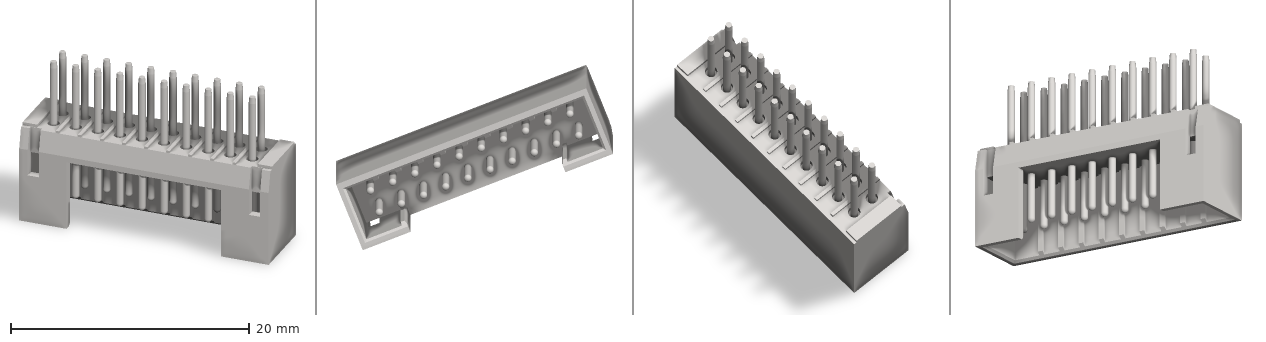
import cadquery as cq

COLUMNS = 10
ROWS = 2
COLUMN_SPAN = 18.01
PITCH = COLUMN_SPAN / (COLUMNS - 1)

LENGTH = 22.6
WIDTH = 6.1
DECK_TOP = 8.59
FRONT = -WIDTH / 2
BACK = WIDTH / 2
FRONT_BEVEL_DEPTH = 0.4
FRONT_BEVEL_HEIGHT = 1.85

CAVITY_HEIGHT = 6.22
SIDE_WALL = 0.72
END_WALL = 0.6
LEAD_IN = 0.2
LEAD_IN_ANGLE = 45
WINDOW_LENGTH = 14.01

GUIDE_PITCH = 2.01
GUIDE_WIDTH = 0.47
GUIDE_DEPTH = 0.27
JAMB_TAPER = 0.14

SLOT_WIDTH = 1.02
SLOT_BOTTOM = 4.36
SLOT_FROM_END = 0.77

PAD_LENGTH = 1.3
PAD_HEIGHT = 0.27
PAD_FRONT_GAP = 0.77
PAD_BACK_GAP = 0.27
RIB_WIDTH = 0.32
RIB_HEIGHT = 0.2
RIB_BACK_GAP = 0.4

PIN_RADIUS = 0.32
PIN_TIP_DIAMETER = 0.52
PIN_TIP_HEIGHT = 0.55
PIN_BOTTOM = 1.95
PIN_TOP = 14.4
RECESS_RADIUS = 0.52
RECESS_DEPTH = 0.5


def centred_positions(count, pitch):
    """Evenly spaced coordinates centred on zero."""
    return [(i - (count - 1) / 2) * pitch for i in range(count)]


column_x = centred_positions(COLUMNS, PITCH)
row_y = centred_positions(ROWS, PITCH)
pin_points = [(x, y) for x in column_x for y in row_y]

deck_rib_x = centred_positions(COLUMNS - 1, PITCH)
guide_rib_x = centred_positions(COLUMNS - 1, GUIDE_PITCH)

cavity_half_length = LENGTH / 2 - END_WALL
cavity_half_width = WIDTH / 2 - SIDE_WALL


def block(x_range, y_range, z_range):
    """Box between the given limits along X, Y and Z."""
    (x0, x1), (y0, y1), (z0, z1) = x_range, y_range, z_range
    return cq.Workplane("XY").box(x1 - x0, y1 - y0, z1 - z0, centered=False).translate((x0, y0, z0))


def profile_along_x(points, x_start, x_end):
    """Closed Y-Z outline extruded from x_start to x_end."""
    return cq.Workplane("YZ", origin=(x_start, 0, 0)).polyline(points).close().extrude(x_end - x_start)


def housing_block():
    """Solid outer body with a bevel along the top front edge."""
    outline = [
        (FRONT, 0),
        (BACK, 0),
        (BACK, DECK_TOP),
        (FRONT + FRONT_BEVEL_DEPTH, DECK_TOP),
        (FRONT, DECK_TOP - FRONT_BEVEL_HEIGHT),
    ]
    return profile_along_x(outline, -LENGTH / 2, LENGTH / 2)


def cavity():
    """Rectangular cavity that flares outward all round at the mouth."""
    length = 2 * cavity_half_length
    width = 2 * cavity_half_width
    mouth = (
        cq.Workplane("XY")
        .rect(length + 2 * LEAD_IN, width + 2 * LEAD_IN)
        .extrude(LEAD_IN, taper=LEAD_IN_ANGLE)
    )
    return mouth.union(cq.Workplane("XY").rect(length, width).extrude(CAVITY_HEIGHT))


def guide_rib(x_centre, side):
    """Rib on the rear (side = 1) or front (side = -1) wall; its foot carries on the lead-in slope."""
    root = side * (cavity_half_width + LEAD_IN)
    crest = side * (cavity_half_width - GUIDE_DEPTH)
    outline = [
        (root, 0),
        (crest, LEAD_IN + GUIDE_DEPTH),
        (crest, CAVITY_HEIGHT),
        (root, CAVITY_HEIGHT),
    ]
    return profile_along_x(outline, x_centre - GUIDE_WIDTH / 2, x_centre + GUIDE_WIDTH / 2)


def jamb_wedge(side):
    """Wedge that slants the flank of the rib beside the left (-1) or right (1) window jamb."""
    jamb = side * WINDOW_LENGTH / 2
    root = -cavity_half_width
    crest = root + GUIDE_DEPTH
    outline = [(jamb, root), (jamb, crest), (jamb + side * JAMB_TAPER, crest)]
    return cq.Workplane("XY").polyline(outline).close().extrude(CAVITY_HEIGHT)


def pin():
    """Round pin with a hemispherical lower end and a tapered upper tip."""
    return (
        cq.Workplane("XZ")
        .moveTo(0, PIN_BOTTOM)
        .radiusArc((PIN_RADIUS, PIN_BOTTOM + PIN_RADIUS), -PIN_RADIUS)
        .lineTo(PIN_RADIUS, PIN_TOP - PIN_TIP_HEIGHT)
        .lineTo(PIN_TIP_DIAMETER / 2, PIN_TOP)
        .lineTo(0, PIN_TOP)
        .close()
        .revolve(360, (0, 0, 0), (0, 1, 0))
    )


window_x = (-WINDOW_LENGTH / 2, WINDOW_LENGTH / 2)
body = housing_block().cut(cavity())
body = body.cut(block(window_x, (FRONT, FRONT + SIDE_WALL), (0, CAVITY_HEIGHT)))

for x in guide_rib_x:
    body = body.union(guide_rib(x, 1))

for side in (-1, 1):
    jamb_rib_x = side * (WINDOW_LENGTH + GUIDE_WIDTH) / 2
    body = body.union(guide_rib(jamb_rib_x, -1)).cut(jamb_wedge(side))

slot_outer = LENGTH / 2 - SLOT_FROM_END
for side in (-1, 1):
    slot_x = sorted((side * slot_outer, side * (slot_outer - SLOT_WIDTH)))
    body = body.cut(block(slot_x, (FRONT, FRONT + SIDE_WALL), (SLOT_BOTTOM, DECK_TOP)))
    pad_x = sorted((side * LENGTH / 2, side * (LENGTH / 2 - PAD_LENGTH)))
    pad_y = (FRONT + PAD_FRONT_GAP, BACK - PAD_BACK_GAP)
    body = body.union(block(pad_x, pad_y, (DECK_TOP, DECK_TOP + PAD_HEIGHT)))

for x in deck_rib_x:
    rib_x = (x - RIB_WIDTH / 2, x + RIB_WIDTH / 2)
    rib_y = (FRONT + FRONT_BEVEL_DEPTH, BACK - RIB_BACK_GAP)
    body = body.union(block(rib_x, rib_y, (DECK_TOP, DECK_TOP + RIB_HEIGHT)))

recesses = (
    cq.Workplane("XY", origin=(0, 0, DECK_TOP - RECESS_DEPTH))
    .pushPoints(pin_points)
    .circle(RECESS_RADIUS)
    .extrude(RECESS_DEPTH)
)
body = body.cut(recesses)
for x, y in pin_points:
    body = body.union(pin().translate((x, y, 0)))

result = body